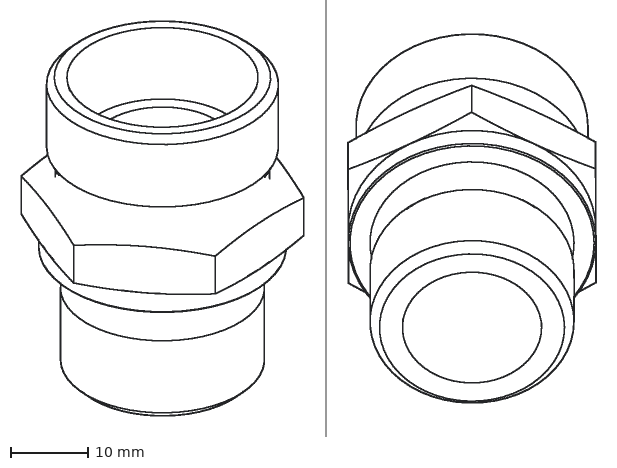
import cadquery as cq
import math

height = 44.0
hex_width = 32.05
hex_radius = hex_width / 2
hex_corner_radius = hex_radius / math.cos(math.radians(30))

lower_radius = 13.2
lower_chamfer = 1.25
lower_thread_top = 12.15
groove_radius = 11.75
groove_height = 14.45
groove_fillet = 0.95

collar_bottom = 18.05
collar_chamfer = 0.2
hex_bottom = 21.05
hex_top = 28.05
hex_chamfer_angle = 15.0

upper_radius = 15.0
upper_chamfer = 1.0
upper_thread_bottom = 33.55
neck_radius = 13.85
neck_top = 31.4
neck_top_fillet = 1.05
neck_base_fillet = 1.05

bore_radius = 18.0 / 2
socket_radius = 11.0
socket_depth = 10.0
mouth_radius = 12.35
cone_half_angle = 12.0
cone_depth = (mouth_radius - socket_radius) / math.tan(math.radians(cone_half_angle))


def revolve_profile(points):
    """Turn a closed (radius, height) outline about the Z axis."""
    return cq.Workplane("XZ").polyline(points).close().revolve(360, (0, 0), (0, 1))


def circle_edge(radius, z):
    """Selector for the horizontal circular edge passing through (radius, z)."""
    margin = 0.05
    reach = radius + margin
    return cq.selectors.BoxSelector(
        (-reach, -reach, z - margin), (reach, reach, z + margin), boundingbox=True
    )


def lower_end():
    """Threaded spigot with a V-groove below the collar."""
    body = revolve_profile([
        (0, 0),
        (lower_radius - lower_chamfer, 0),
        (lower_radius, lower_chamfer),
        (lower_radius, lower_thread_top),
        (groove_radius, groove_height),
        (lower_radius, collar_bottom),
        (0, collar_bottom),
    ])
    return body.edges(circle_edge(groove_radius, groove_height)).fillet(groove_fillet)


def collar():
    disc = cq.Workplane("XY").workplane(offset=collar_bottom).circle(hex_radius)
    return disc.extrude(hex_bottom - collar_bottom).faces("<Z").edges().chamfer(collar_chamfer)


def hexagon():
    """Hexagon with corners on Y, its corners bevelled by cones at both ends."""
    prism = (
        cq.Workplane("XY").workplane(offset=hex_bottom)
        .polygon(6, 2 * hex_corner_radius).extrude(hex_top - hex_bottom)
        .rotate((0, 0, 0), (0, 0, 1), 30)
    )
    corner_drop = (hex_corner_radius - hex_radius) * math.tan(math.radians(hex_chamfer_angle))
    bevels = revolve_profile([
        (0, hex_bottom),
        (hex_radius, hex_bottom),
        (hex_corner_radius, hex_bottom + corner_drop),
        (hex_corner_radius, hex_top - corner_drop),
        (hex_radius, hex_top),
        (0, hex_top),
    ])
    return prism.intersect(bevels)


def upper_end():
    """Threaded spigot with a relief neck next to the hexagon."""
    body = revolve_profile([
        (0, hex_top),
        (neck_radius, hex_top),
        (neck_radius, neck_top),
        (upper_radius, upper_thread_bottom),
        (upper_radius, height - upper_chamfer),
        (upper_radius - upper_chamfer, height),
        (0, height),
    ])
    return body.edges(circle_edge(neck_radius, neck_top)).fillet(neck_top_fillet)


def passage():
    """Through bore with a stepped, conical tube socket at the top."""
    return revolve_profile([
        (0, 0),
        (bore_radius, 0),
        (bore_radius, height - socket_depth),
        (socket_radius, height - socket_depth),
        (socket_radius, height - cone_depth),
        (mouth_radius, height),
        (0, height),
    ])


body = lower_end().union(collar()).union(hexagon()).union(upper_end())
body = body.edges(circle_edge(neck_radius, hex_top)).fillet(neck_base_fillet)
result = body.cut(passage())